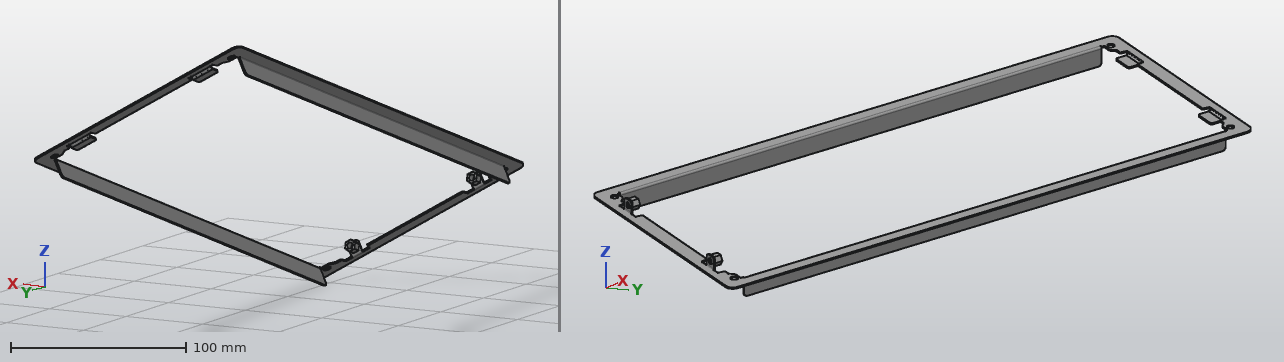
import cadquery as cq
import math

THICKNESS = 1.0
FRAME_WIDTH = 143.0
FRAME_LENGTH = 359.8
CORNER_RADIUS = 4.7
INNER_BEND_RADIUS = 0.3
OUTER_BEND_RADIUS = INNER_BEND_RADIUS + THICKNESS

SIDE_BORDER = 8.5
END_BORDER = 9.8
EAR_BORDER = 12.7
EAR_WIDTH = 5.5
EAR_SLOPE_WIDTH = 3.0
FLANGE_FACE_X = FRAME_WIDTH / 2 - SIDE_BORDER
OPENING_HALF_LENGTH = FRAME_LENGTH / 2 - END_BORDER
EAR_Y = FRAME_LENGTH / 2 - EAR_BORDER

FLANGE_DEPTH = 12.5
FLANGE_LENGTH = 330.7
FLANGE_CORNER_RADIUS = 2.0

HOLE_DIAMETER = 4.5
HOLE_INSET_X = 10.0
HOLE_INSET_Y = 9.5

TAB_SPACING = 84.3
NOTCH_WIDTH = 16.7
NOTCH_DEPTH = 4.5
NOTCH_FLARE = 0.7
NOTCH_FLOOR_Y = OPENING_HALF_LENGTH + NOTCH_DEPTH
ROOT_OVERLAP = 0.7

HOOK_WIDTH = 13.5
HOOK_REACH = 9.0
HOOK_DROP = 1.65
HOOK_JOG_LENGTH = 1.65
HOOK_CORNER_RADIUS = 1.5

LUG_WIDTH = 7.3
LUG_HEIGHT = 7.3
LUG_CORNER_RADIUS = 1.8
NUT_ACROSS_FLATS = 6.0
NUT_LENGTH = 5.0
NUT_BORE = 3.5
NUT_AXIS_Z = 3.5

ROLL_ABOUT_Y = 33.0
PITCH_ABOUT_X = 20.0

TAB_CENTRES_X = [-TAB_SPACING / 2, TAB_SPACING / 2]
LUG_INNER_Y = -NOTCH_FLOOR_Y + OUTER_BEND_RADIUS


def make_border():
    """Flat ring of sheet with rounded corners and a sloped ear at each inner corner."""
    plate = (
        cq.Workplane("XY")
        .rect(FRAME_WIDTH, FRAME_LENGTH)
        .extrude(-THICKNESS)
        .edges("|Z")
        .fillet(CORNER_RADIUS)
    )
    side_x = FLANGE_FACE_X
    ear_x = side_x - EAR_WIDTH
    slope_x = ear_x - EAR_SLOPE_WIDTH
    top_right = [(side_x, EAR_Y), (ear_x, EAR_Y), (slope_x, OPENING_HALF_LENGTH)]
    top = top_right + [(-x, y) for x, y in reversed(top_right)]
    bottom = [(x, -y) for x, y in reversed(top)]
    opening = cq.Workplane("XY").polyline(top + bottom).close().extrude(-THICKNESS)
    holes = (
        cq.Workplane("XY")
        .rect(FRAME_WIDTH - 2 * HOLE_INSET_X, FRAME_LENGTH - 2 * HOLE_INSET_Y, forConstruction=True)
        .vertices()
        .circle(HOLE_DIAMETER / 2)
        .extrude(-THICKNESS)
    )
    return plate.cut(opening).cut(holes)


def make_notch(x, end):
    """Flared cutter for one notch; end is +1 or -1 for the +Y or -Y side."""
    floor_half = NOTCH_WIDTH / 2
    mouth_half = floor_half + NOTCH_FLARE
    floor_y = end * NOTCH_FLOOR_Y
    mouth_y = end * OPENING_HALF_LENGTH
    return (
        cq.Workplane("XY")
        .polyline(
            [
                (x - floor_half, floor_y),
                (x + floor_half, floor_y),
                (x + mouth_half, mouth_y),
                (x - mouth_half, mouth_y),
            ]
        )
        .close()
        .extrude(-THICKNESS)
    )


def make_bend_profile(plane, start, leg):
    """Sheet section from a flat start, round a bend toward local -y, to the tip of a straight leg.

    The section runs along local x and ends with its outer bend face at x = 0.
    """
    diagonal = math.sqrt(0.5)
    centre = -OUTER_BEND_RADIUS
    outer = OUTER_BEND_RADIUS * diagonal
    inner = INNER_BEND_RADIUS * diagonal
    return (
        cq.Workplane(plane)
        .moveTo(start, 0)
        .lineTo(centre, 0)
        .threePointArc((centre + outer, centre + outer), (0, centre))
        .lineTo(0, -leg)
        .lineTo(-THICKNESS, -leg)
        .lineTo(-THICKNESS, centre)
        .threePointArc((centre + inner, centre + inner), (centre, -THICKNESS))
        .lineTo(start, -THICKNESS)
        .close()
    )


def make_right_flange():
    """Flange bent down along the +X border, which turns toward -X before it drops."""
    plane = cq.Plane(origin=(FLANGE_FACE_X, 0, 0), xDir=(-1, 0, 0), normal=(0, 1, 0))
    return (
        make_bend_profile(plane, -SIDE_BORDER / 2, FLANGE_DEPTH)
        .extrude(FLANGE_LENGTH / 2, both=True)
        .edges("|X and <Z")
        .fillet(FLANGE_CORNER_RADIUS)
    )


def make_bend_clearance():
    """Cutter that removes the square edge of the border where the flange bend replaces it."""
    return (
        cq.Workplane("XY")
        .box(OUTER_BEND_RADIUS, FLANGE_LENGTH, THICKNESS, centered=(False, True, False))
        .translate((FLANGE_FACE_X, 0, -THICKNESS))
    )


def make_hook(x):
    """Tab at the +Y end that steps below the sheet and reaches into the opening."""
    root_y = NOTCH_FLOOR_Y + ROOT_OVERLAP
    jog_y = NOTCH_FLOOR_Y - HOOK_JOG_LENGTH
    tip_y = NOTCH_FLOOR_Y - HOOK_REACH
    upper_line = [(root_y, 0), (NOTCH_FLOOR_Y, 0), (jog_y, -HOOK_DROP), (tip_y, -HOOK_DROP)]
    lower_line = [(y, z - THICKNESS) for y, z in reversed(upper_line)]
    return (
        cq.Workplane("YZ")
        .polyline(upper_line + lower_line)
        .close()
        .extrude(HOOK_WIDTH / 2, both=True)
        .edges("|Z and <Y")
        .fillet(HOOK_CORNER_RADIUS)
        .translate((x, 0, 0))
    )


def make_lug(x):
    """Tab at the -Y end bent straight up from the notch floor, bored for the nut's screw."""
    plane = cq.Plane(origin=(x, LUG_INNER_Y, -THICKNESS), xDir=(0, 1, 0), normal=(-1, 0, 0))
    lug = (
        make_bend_profile(plane, -OUTER_BEND_RADIUS - ROOT_OVERLAP, LUG_HEIGHT + THICKNESS)
        .extrude(LUG_WIDTH / 2, both=True)
        .edges("|Y and >Z")
        .fillet(LUG_CORNER_RADIUS)
    )
    bore = (
        cq.Workplane("XZ", origin=(x, LUG_INNER_Y, NUT_AXIS_Z))
        .circle(NUT_BORE / 2)
        .extrude(THICKNESS)
    )
    return lug.cut(bore)


def make_frame():
    """Border with both side flanges, and a hook and a lug in each pair of notches."""
    border = make_border()
    flange = make_right_flange()
    clearance = make_bend_clearance()
    frame = border.cut(clearance).cut(clearance.mirror("YZ"))
    frame = frame.union(flange).union(flange.mirror("YZ"))
    for x in TAB_CENTRES_X:
        frame = frame.cut(make_notch(x, 1)).cut(make_notch(x, -1))
        frame = frame.union(make_hook(x)).union(make_lug(x))
    return frame


def make_nut(x):
    """Hexagon nut seated on the inner face of a lug, flats parallel to the sheet."""
    across_corners = NUT_ACROSS_FLATS / math.cos(math.radians(30))
    return (
        cq.Workplane("XZ", origin=(x, LUG_INNER_Y, NUT_AXIS_Z))
        .polygon(6, across_corners)
        .circle(NUT_BORE / 2)
        .extrude(-NUT_LENGTH)
    )


def tilt(body):
    """Turn a flat-modelled body into its final attitude."""
    rolled = body.rotate((0, 0, 0), (0, 1, 0), ROLL_ABOUT_Y)
    return rolled.rotate((0, 0, 0), (1, 0, 0), PITCH_ABOUT_X)


frame = tilt(make_frame())
nuts = [tilt(make_nut(x)) for x in TAB_CENTRES_X]

result = cq.Compound.makeCompound([frame.val(), *[nut.val() for nut in nuts]])